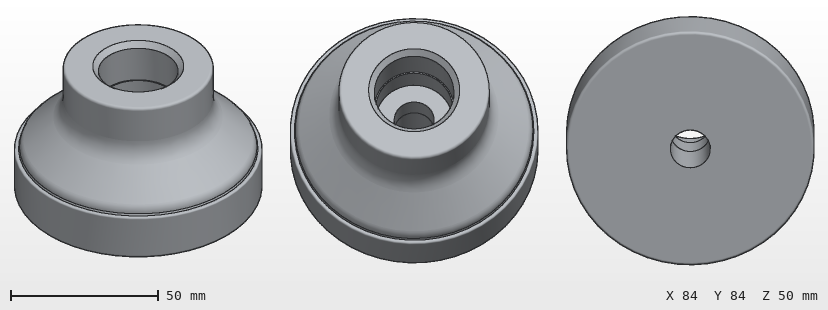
import cadquery as cq
import math

base_radius = 42.0
base_height = 16.3
base_top_round = 0.6
base_bottom_round = 0.9

total_height = 50.0
neck_radius = 51.0 / 2
neck_top_round = 1.0
neck_bottom_z = 36.55
flare_angle = math.radians(47.4)
neck_fillet = 10.0
cone_bottom_radius = 38.9
shoulder_round = 4.2
shoulder_bottom_z = 17.0
hub_foot_radius = 40.6

bore_radius = 27.0 / 2
bore_mouth_radius = 30.8 / 2
bore_mouth_depth = bore_mouth_radius - bore_radius
step_z = 35.1
lower_bore_radius = 13.0
bore_floor_z = 25.2
through_hole_radius = 13.5 / 2


def arc_point(center_r, center_z, radius, angle):
    """Point of a profile arc, with the angle measured from the radial direction."""
    return (center_r + radius * math.cos(angle), center_z + radius * math.sin(angle))


def make_base():
    disc = cq.Workplane("XY").circle(base_radius).extrude(base_height)
    rounded = disc.edges(">Z").fillet(base_top_round).edges("<Z").fillet(base_bottom_round)
    hole = cq.Workplane("XY").circle(through_hole_radius).extrude(base_height)
    return rounded.cut(hole)


def make_hub_blank():
    fillet_center = (neck_radius + neck_fillet, neck_bottom_z)
    fillet_middle = arc_point(*fillet_center, neck_fillet, math.pi + flare_angle / 2)
    cone_top = arc_point(*fillet_center, neck_fillet, math.pi + flare_angle)

    cone_bottom_z = cone_top[1] - (cone_bottom_radius - cone_top[0]) / math.tan(flare_angle)
    shoulder_center = (
        cone_bottom_radius - shoulder_round * math.cos(flare_angle),
        cone_bottom_z - shoulder_round * math.sin(flare_angle),
    )
    shoulder_end_angle = math.asin((shoulder_bottom_z - shoulder_center[1]) / shoulder_round)
    shoulder_middle_angle = (flare_angle + shoulder_end_angle) / 2
    shoulder_middle = arc_point(*shoulder_center, shoulder_round, shoulder_middle_angle)
    shoulder_end = arc_point(*shoulder_center, shoulder_round, shoulder_end_angle)

    top_round_center = (neck_radius - neck_top_round, total_height - neck_top_round)
    top_round_middle = arc_point(*top_round_center, neck_top_round, math.pi / 4)

    profile = (
        cq.Workplane("XZ")
        .moveTo(0, base_height)
        .lineTo(0, total_height)
        .lineTo(neck_radius - neck_top_round, total_height)
        .threePointArc(top_round_middle, (neck_radius, total_height - neck_top_round))
        .lineTo(neck_radius, neck_bottom_z)
        .threePointArc(fillet_middle, cone_top)
        .lineTo(cone_bottom_radius, cone_bottom_z)
        .threePointArc(shoulder_middle, shoulder_end)
        .lineTo(hub_foot_radius, base_height)
        .close()
    )
    return profile.revolve(360, (0, 0, 0), (0, 1, 0))


def make_hub_bore():
    profile = (
        cq.Workplane("XZ")
        .moveTo(0, base_height)
        .lineTo(through_hole_radius, base_height)
        .lineTo(through_hole_radius, bore_floor_z)
        .lineTo(lower_bore_radius, bore_floor_z)
        .lineTo(lower_bore_radius, step_z)
        .lineTo(bore_radius, step_z)
        .lineTo(bore_radius, total_height - bore_mouth_depth)
        .lineTo(bore_mouth_radius, total_height)
        .lineTo(0, total_height)
        .close()
    )
    return profile.revolve(360, (0, 0, 0), (0, 1, 0))


base = make_base()
hub = make_hub_blank().cut(make_hub_bore())

result = cq.Compound.makeCompound([base.val(), hub.val()])